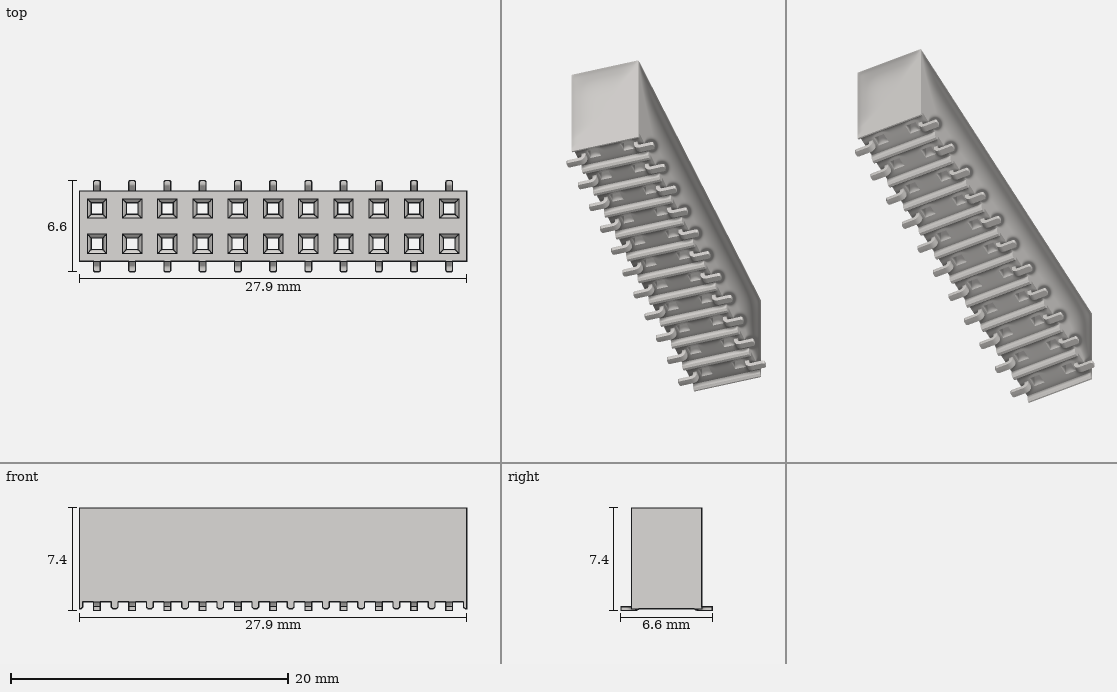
import cadquery as cq
import math

columns = 11
rows = 2
length = 27.95
pitch = length / columns
column_places = [(i - (columns - 1) / 2) * pitch for i in range(columns)]
row_places = [(i - (rows - 1) / 2) * pitch for i in range(rows)]

total_height = 7.4
body_width = rows * pitch
foot_clearance = 0.1
standoff_height = 0.5
standoff_width = 0.5
standoff_chamfer = 0.15
floor_z = foot_clearance + standoff_height

hole_side = 0.8
mouth_side = 1.4
funnel_angle = 45.0
funnel_depth = (mouth_side - hole_side) / 2 / math.tan(math.radians(funnel_angle))

foot_span = 6.6
foot_width = 0.5
foot_thickness = 0.28
bend_inner_radius = 0.17
bend_outer_radius = bend_inner_radius + foot_thickness
tail_inner_y = 1.85
tail_embed = 0.55
tip_radius = 0.15


def make_body():
    """Block standing from the floor to the top face."""
    body_height = total_height - floor_z
    return cq.Workplane("XY").workplane(offset=floor_z).box(
        length, body_width, body_height, centered=(True, True, False)
    )


def make_standoffs():
    """Ribs halfway between the columns; the two end ribs are cut in half by the end faces."""
    rib_places = [((i - columns / 2) * pitch, 0) for i in range(columns + 1)]
    ribs = (
        cq.Workplane("XY")
        .workplane(offset=foot_clearance)
        .pushPoints(rib_places)
        .rect(standoff_width, body_width)
        .extrude(standoff_height)
        .edges("|Y and <Z")
        .chamfer(standoff_chamfer)
    )
    envelope = cq.Workplane("XY").box(length, body_width, 2 * total_height)
    return ribs.intersect(envelope)


def make_socket():
    """Cutter for one socket, centred on the Z axis."""
    hole = cq.Workplane("XY").rect(hole_side, hole_side).extrude(total_height)
    funnel = (
        cq.Workplane("XY")
        .workplane(offset=total_height)
        .rect(mouth_side, mouth_side)
        .extrude(-funnel_depth, taper=funnel_angle)
    )
    return hole.union(funnel)


def make_foot():
    """Contact foot at X = 0 pointing toward +Y."""
    tip_y = foot_span / 2
    tail_outer_y = tail_inner_y + foot_thickness
    top_z = floor_z + tail_embed
    bend_y = tail_inner_y + bend_outer_radius
    diagonal = math.sqrt(0.5)
    return (
        cq.Workplane("YZ")
        .moveTo(tip_y, 0)
        .lineTo(bend_y, 0)
        .threePointArc(
            (bend_y - bend_outer_radius * diagonal, bend_outer_radius * (1 - diagonal)),
            (tail_inner_y, bend_outer_radius),
        )
        .lineTo(tail_inner_y, top_z)
        .lineTo(tail_outer_y, top_z)
        .lineTo(tail_outer_y, bend_outer_radius)
        .threePointArc(
            (bend_y - bend_inner_radius * diagonal, bend_outer_radius - bend_inner_radius * diagonal),
            (bend_y, foot_thickness),
        )
        .lineTo(tip_y, foot_thickness)
        .close()
        .extrude(foot_width / 2, both=True)
        .edges("|Z and >Y")
        .fillet(tip_radius)
    )


result = make_body().union(make_standoffs())

socket = make_socket()
for x in column_places:
    for y in row_places:
        result = result.cut(socket.translate((x, y, 0)))

back_foot = make_foot()
front_foot = back_foot.mirror("XZ")
for x in column_places:
    result = result.union(back_foot.translate((x, 0, 0)))
    result = result.union(front_foot.translate((x, 0, 0)))